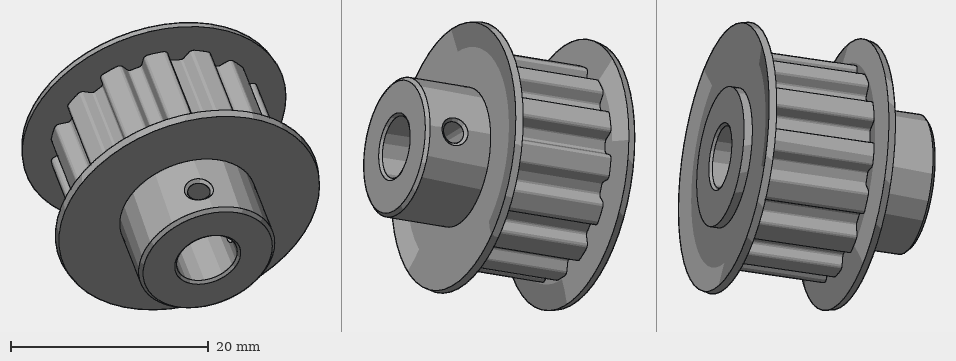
import cadquery as cq
import math


total_length = 20.65
tooth_start_x = 1.67
tooth_end_x = 12.62

flange_radius = 13.9
flange_bend_radius = 11.25
flange_thickness = 0.78
flange_angle = math.radians(12)

tooth_count = 14
tip_radius = 11.12
groove_depth = 1.4
groove_base_half_width = 0.67
groove_flank_angle = math.radians(25)
groove_root_fillet = 0.42
tooth_tip_fillet = 0.53

hub_radius = 7.17
hub_chamfer = 0.35
bore_radius = 3.2
bore_chamfer = 0.28

screw_x = 17.45
screw_radius = 1.15
screw_chamfer = 0.33

edge_tolerance = 0.03


def revolve_about_x(points):
    """Revolve a closed outline of (x, radius) points about the X axis."""
    return cq.Workplane("XY").polyline(points).close().revolve(360, (0, 0, 0), (1, 0, 0))


def cylinder_along_x(radius, start, end):
    return cq.Workplane("YZ").workplane(offset=start).circle(radius).extrude(end - start)


def edge_radius(edge):
    """Distance of an edge's centre from the X axis."""
    center = edge.Center()
    return math.hypot(center.y, center.z)


def make_groove():
    """Cutter for the tooth gap that faces -Y: a trapezoid on an arc of the root circle."""
    root_radius = tip_radius - groove_depth
    cutter_radius = tip_radius + groove_depth
    base_y = math.sqrt(root_radius**2 - groove_base_half_width**2)
    mouth_half_width = groove_base_half_width + (cutter_radius - base_y) * math.tan(groove_flank_angle)
    return (
        cq.Workplane("YZ")
        .workplane(offset=tooth_start_x)
        .moveTo(-cutter_radius, -mouth_half_width)
        .lineTo(-base_y, -groove_base_half_width)
        .threePointArc((-root_radius, 0), (-base_y, groove_base_half_width))
        .lineTo(-cutter_radius, mouth_half_width)
        .close()
        .extrude(tooth_end_x - tooth_start_x)
    )


def make_toothed_drum():
    drum = cylinder_along_x(tip_radius, tooth_start_x, tooth_end_x)
    groove = make_groove()
    for index in range(tooth_count):
        drum = drum.cut(groove.rotate((0, 0, 0), (1, 0, 0), index * 360 / tooth_count))

    middle_radius = tip_radius - groove_depth / 2
    root_edges = drum.edges("|X").filter(lambda edge: edge_radius(edge) < middle_radius)
    drum = root_edges.fillet(groove_root_fillet)
    tip_edges = drum.edges("|X").filter(lambda edge: edge_radius(edge) > tip_radius - edge_tolerance)
    return tip_edges.fillet(tooth_tip_fillet)


def make_front_flange():
    """Flat disc against the teeth whose border is bent towards -X, with a square-cut rim."""
    rim_drop = flange_thickness * math.sin(flange_angle)
    rim_width = flange_thickness * math.cos(flange_angle)
    inner_bend_radius = flange_bend_radius + flange_thickness * math.tan(flange_angle / 2)
    inner_rim_x = tooth_start_x - (flange_radius - inner_bend_radius) * math.tan(flange_angle)
    return revolve_about_x([
        (tooth_start_x, 0),
        (tooth_start_x, inner_bend_radius),
        (inner_rim_x, flange_radius),
        (inner_rim_x - rim_width, flange_radius - rim_drop),
        (tooth_start_x - flange_thickness, flange_bend_radius),
        (tooth_start_x - flange_thickness, 0),
    ])


hub = cylinder_along_x(hub_radius, 0, total_length).faces(">X").chamfer(hub_chamfer)

front_flange = make_front_flange()
tooth_middle_x = (tooth_start_x + tooth_end_x) / 2
rear_flange = front_flange.mirror("YZ", (tooth_middle_x, 0, 0))

result = hub.union(make_toothed_drum()).union(front_flange).union(rear_flange)

bore = cylinder_along_x(bore_radius, 0, total_length)
result = result.cut(bore)
bore_rims = result.edges("%CIRCLE").filter(lambda edge: abs(edge.radius() - bore_radius) < edge_tolerance)
result = bore_rims.chamfer(bore_chamfer)

screw_hole = cq.Workplane("XY").center(screw_x, 0).circle(screw_radius).extrude(hub_radius)
result = result.cut(screw_hole).cut(screw_hole.rotate((0, 0, 0), (1, 0, 0), -90))

mouth_reach = screw_radius + edge_tolerance
for mouth_y, mouth_z in ((0, hub_radius), (hub_radius, 0)):
    mouth = cq.selectors.BoxSelector(
        (screw_x - mouth_reach, mouth_y - mouth_reach, mouth_z - mouth_reach),
        (screw_x + mouth_reach, mouth_y + mouth_reach, mouth_z + mouth_reach),
        boundingbox=True,
    )
    result = result.edges(mouth).chamfer(screw_chamfer)